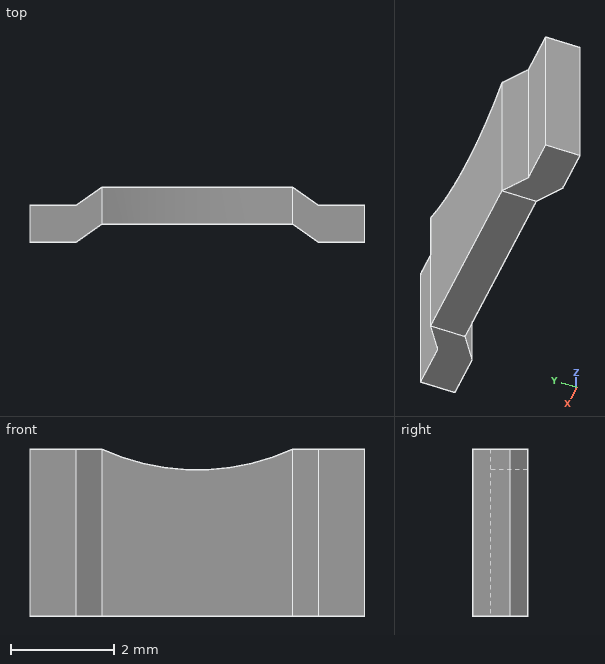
import cadquery as cq

length = 6.5
height = 3.25
depth = 1.07

thickness = 0.72
foot_length = 0.9
centre_length = 3.705
scallop_depth = 0.4

half_length = length / 2
half_centre = centre_length / 2
foot_inner_x = half_length - foot_length
centre_front_y = depth - thickness


def make_centre_plate():
    """Raised middle plate with a shallow arc cut into its top edge."""
    return (
        cq.Workplane("XZ", origin=(0, centre_front_y, 0))
        .moveTo(-half_centre, 0)
        .lineTo(half_centre, 0)
        .lineTo(half_centre, height)
        .threePointArc((0, height - scallop_depth), (-half_centre, height))
        .close()
        .extrude(-thickness)
    )


def make_end_leg(side):
    """Flat foot and sloped web; side is -1 for the left leg and 1 for the right."""
    outline = [
        (side * half_centre, centre_front_y),
        (side * foot_inner_x, 0),
        (side * half_length, 0),
        (side * half_length, thickness),
        (side * foot_inner_x, thickness),
        (side * half_centre, depth),
    ]
    return cq.Workplane("XY").polyline(outline).close().extrude(height)


centre_plate = make_centre_plate()
end_legs = [make_end_leg(side) for side in (-1, 1)]

result = cq.Compound.makeCompound([centre_plate.val(), *[leg.val() for leg in end_legs]])